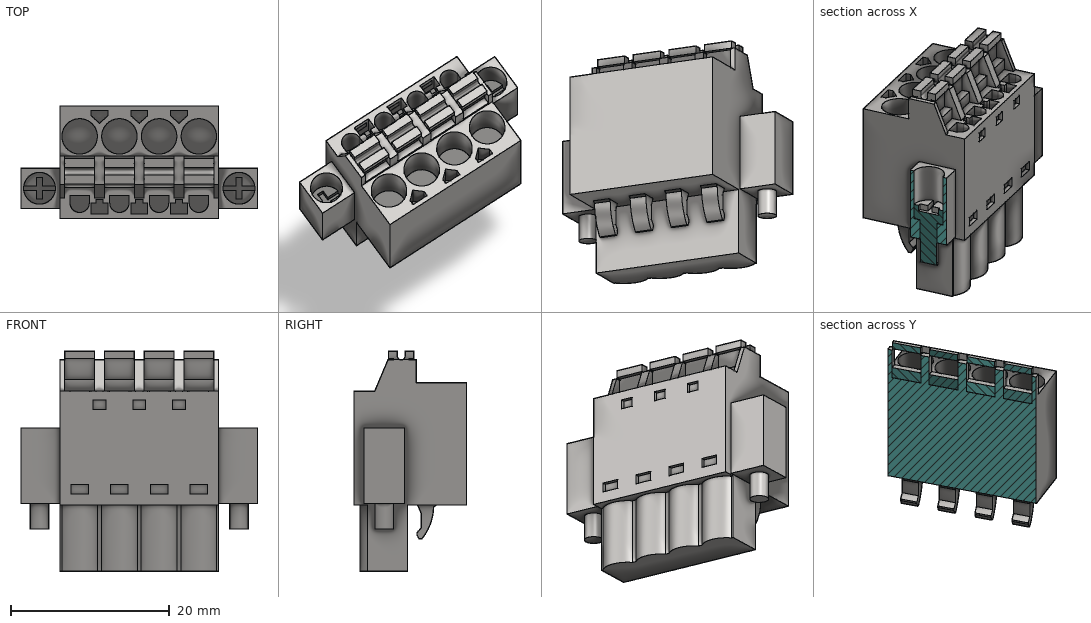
import cadquery as cq


poles = 4
pitch = 5.0
housing_width = poles * pitch
pole_xs = [(i - (poles - 1) / 2) * pitch for i in range(poles)]
between_xs = [(i - (poles - 2) / 2) * pitch for i in range(poles - 1)]

housing_depth = 14.2
front_deck_z = 14.34
back_deck_z = 15.43
ridge_top_z = 18.31
ridge_back_y = 7.86
ridge_front_y = 4.29
slope_foot_y = 2.62

plug_bottom_z = -8.33
plug_back_y = 6.77
plug_flat_y = 1.71
plug_crown_y = 0.77
plug_arc_width = 4.5

latch_root_back_y = 10.39
latch_root_front_y = 8.02
latch_back_shoulder = (10.05, -0.24)
latch_back_waist = (9.59, -2.5)
latch_tip_back_y = 8.56
latch_tip_front_y = 8.2
latch_tip_z = -4.25
latch_nose_y = 7.92
latch_nose_bottom_z = -3.7
latch_nose_top_z = -3.48
latch_neck_y = 8.46
latch_neck_bottom_z = -2.86
latch_neck_top_z = -1.0
latch_width = 2.2

overall_width = 29.8
flange_front_y = 1.26
flange_back_y = 6.36
flange_bottom_z = 0.2
flange_top_z = 9.73
screw_x = 12.55
screw_y = 3.82
screw_head_diameter = 4.0
screw_shank_diameter = 2.36
screw_tip_z = -3.0
screw_seat_z = 3.0
screw_head_z = 5.0
drive_depth = 0.8
drive_slot_width = 0.6
drive_cross_width = 0.8
drive_cross_length = 2.73

overall_height = 27.73
lever_width = 3.8
lever_head_front_y = 4.36
lever_head_back_y = 7.57
lever_centre_y = (lever_head_front_y + lever_head_back_y) / 2
lever_stem_depth = 1.98
lever_foot_front_y = 3.9
lever_foot_z = 15.79
lever_head_bottom_z = 18.45
lever_top_z = plug_bottom_z + overall_height
lever_groove_width = 0.95
lever_groove_floor_z = 18.3
lever_groove_side_z = lever_groove_floor_z + lever_groove_width / 2

test_hole_diameter = 4.46
test_hole_y = 10.35
test_hole_depth = 6.0
wire_hole_width = 2.43
wire_hole_back_y = 2.88
wire_hole_front_y = 0.77
wire_hole_depth = 6.0
key_width = 2.13
key_depth = 4.0
arrow_back_y = 13.63
arrow_shoulder_y = 12.96
arrow_tip_y = 12.0
tee_front_y = 0.6
tee_shoulder_y = 1.94
tee_neck_y = 2.41
tee_neck_width = 0.9

window_depth = 0.55
window_height = 1.2
upper_window_width = 1.6
upper_window_z = 12.61
lower_window_width = 2.2
lower_window_z = 1.98


def block(x_range, y_range, z_range):
    """Box between two limits on each axis."""
    (x0, x1), (y0, y1), (z0, z1) = x_range, y_range, z_range
    return cq.Workplane("XY").box(x1 - x0, y1 - y0, z1 - z0, centered=False).translate((x0, y0, z0))


def centred(middle, width):
    """Limits of a span of the given width about its middle."""
    return middle - width / 2, middle + width / 2


def side_profile(x_middle, width):
    """Sketch plane for a Y-Z outline that is extruded by `width` about x_middle."""
    return cq.Workplane("YZ", origin=(x_middle - width / 2, 0, 0))


def cylinder(x, y, diameter, z0, z1):
    return cq.Workplane("XY", origin=(x, y, z0)).circle(diameter / 2).extrude(z1 - z0)


def housing_shell():
    outline = [
        (0, 0),
        (housing_depth, 0),
        (housing_depth, back_deck_z),
        (ridge_back_y, back_deck_z),
        (ridge_back_y, ridge_top_z),
        (ridge_front_y, ridge_top_z),
        (slope_foot_y, front_deck_z),
        (0, front_deck_z),
    ]
    return side_profile(0, housing_width).polyline(outline).close().extrude(housing_width)


def plug():
    """Plug bar with one bulged front per pole."""
    outline = cq.Workplane("XY", origin=(0, 0, plug_bottom_z)).moveTo(-housing_width / 2, plug_flat_y)
    for x in pole_xs:
        left, right = centred(x, plug_arc_width)
        outline = outline.lineTo(left, plug_flat_y)
        outline = outline.threePointArc((x, plug_crown_y), (right, plug_flat_y))
    outline = outline.lineTo(housing_width / 2, plug_flat_y)
    outline = outline.lineTo(housing_width / 2, plug_back_y).lineTo(-housing_width / 2, plug_back_y)
    return outline.close().extrude(-plug_bottom_z)


def latch(x):
    """Latch hook that hangs from the housing behind the plug."""
    return (
        side_profile(x, latch_width)
        .moveTo(latch_root_back_y, 0)
        .lineTo(*latch_back_shoulder)
        .threePointArc(latch_back_waist, (latch_tip_back_y, latch_tip_z))
        .lineTo(latch_tip_front_y, latch_tip_z)
        .lineTo(latch_nose_y, latch_nose_bottom_z)
        .lineTo(latch_nose_y, latch_nose_top_z)
        .lineTo(latch_neck_y, latch_neck_bottom_z)
        .lineTo(latch_neck_y, latch_neck_top_z)
        .lineTo(latch_root_front_y, 0)
        .close()
        .extrude(latch_width)
    )


def flange(side):
    """Screw flange on one end of the housing, with its stepped screw hole."""
    x_range = sorted((side * housing_width / 2, side * overall_width / 2))
    body = block(x_range, (flange_front_y, flange_back_y), (flange_bottom_z, flange_top_z))
    x = side * screw_x
    body = body.cut(cylinder(x, screw_y, screw_head_diameter, screw_seat_z, flange_top_z))
    return body.cut(cylinder(x, screw_y, screw_shank_diameter, flange_bottom_z, screw_seat_z))


def lever_channel(x):
    return block(centred(x, lever_width), (slope_foot_y, ridge_back_y), (front_deck_z, ridge_top_z))


def test_hole(x):
    return cylinder(x, test_hole_y, test_hole_diameter, back_deck_z - test_hole_depth, back_deck_z)


def wire_hole(x):
    """D-shaped wire entry with its round side to the front."""
    left, right = centred(x, wire_hole_width)
    round_start_y = wire_hole_front_y + wire_hole_width / 2
    return (
        cq.Workplane("XY", origin=(0, 0, front_deck_z))
        .moveTo(left, wire_hole_back_y)
        .lineTo(left, round_start_y)
        .threePointArc((x, wire_hole_front_y), (right, round_start_y))
        .lineTo(right, wire_hole_back_y)
        .close()
        .extrude(-wire_hole_depth)
    )


def arrow_pocket(x):
    left, right = centred(x, key_width)
    outline = [
        (left, arrow_back_y),
        (right, arrow_back_y),
        (right, arrow_shoulder_y),
        (x, arrow_tip_y),
        (left, arrow_shoulder_y),
    ]
    return cq.Workplane("XY", origin=(0, 0, back_deck_z)).polyline(outline).close().extrude(-key_depth)


def tee_pocket(x):
    z_range = (front_deck_z - key_depth, front_deck_z)
    bar = block(centred(x, key_width), (tee_front_y, tee_shoulder_y), z_range)
    return bar.union(block(centred(x, tee_neck_width), (tee_front_y, tee_neck_y), z_range))


def window(x, z, width):
    return block(centred(x, width), (0, window_depth), centred(z, window_height))


def housing():
    body = housing_shell().union(plug())
    for side in (-1, 1):
        body = body.union(flange(side))
    for x in pole_xs:
        body = body.union(latch(x))
        body = body.cut(lever_channel(x)).cut(test_hole(x)).cut(wire_hole(x))
        body = body.cut(window(x, lower_window_z, lower_window_width))
    for x in between_xs:
        body = body.cut(arrow_pocket(x)).cut(tee_pocket(x))
        body = body.cut(window(x, upper_window_z, upper_window_width))
    return body


def lever(x):
    """Release lever: a foot, a stem and a head with a round-bottomed groove along X."""
    x_range = centred(x, lever_width)
    foot = block(x_range, (lever_foot_front_y, ridge_back_y), (front_deck_z, lever_foot_z))
    stem = block(x_range, centred(lever_centre_y, lever_stem_depth), (front_deck_z, lever_top_z))
    head = block(x_range, (lever_head_front_y, lever_head_back_y), (lever_head_bottom_z, lever_top_z))
    groove_front_y, groove_back_y = centred(lever_centre_y, lever_groove_width)
    groove = (
        side_profile(x, lever_width)
        .moveTo(groove_front_y, lever_top_z)
        .lineTo(groove_front_y, lever_groove_side_z)
        .threePointArc((lever_centre_y, lever_groove_floor_z), (groove_back_y, lever_groove_side_z))
        .lineTo(groove_back_y, lever_top_z)
        .close()
        .extrude(lever_width)
    )
    return foot.union(stem).union(head).cut(groove)


def screw(x):
    """Flange screw with a slot across its head and a shorter, wider cross slot."""
    shank = cylinder(x, screw_y, screw_shank_diameter, screw_tip_z, screw_seat_z)
    head = cylinder(x, screw_y, screw_head_diameter, screw_seat_z, screw_head_z)
    drive_z = (screw_head_z - drive_depth, screw_head_z)
    slot = block(centred(x, screw_head_diameter), centred(screw_y, drive_slot_width), drive_z)
    cross = block(centred(x, drive_cross_width), centred(screw_y, drive_cross_length), drive_z)
    return shank.union(head).cut(slot).cut(cross)


levers = [lever(x) for x in pole_xs]
screws = [screw(side * screw_x) for side in (-1, 1)]
result = cq.Compound.makeCompound([housing().val(), *[body.val() for body in levers + screws]])